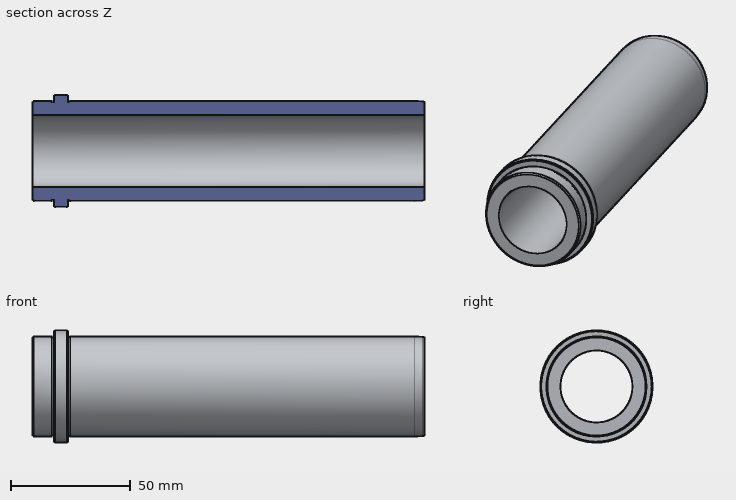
import cadquery as cq

length = 164.0
bore_diameter = 30.0
body_diameter = 42.0
collar_diameter = 47.0

collar_start = 9.0
collar_width = 5.9
relief_width = 1.0
relief_depth = 0.5
edge_chamfer = 0.5
rim_chamfer = 0.7

lead_length = 4.3
lead_drop = 0.2
tip_length = 1.0
tip_drop = 0.3

bore_radius = bore_diameter / 2
body_radius = body_diameter / 2
collar_radius = collar_diameter / 2
relief_radius = body_radius - relief_depth
lead_radius = body_radius - lead_drop
collar_end = collar_start + collar_width


def sleeve_profile():
    """Half section of the sleeve: x along the axis, y as radius."""
    return (
        cq.Workplane("XY")
        .moveTo(0, bore_radius)
        .lineTo(0, body_radius - rim_chamfer)
        .lineTo(rim_chamfer, body_radius)
        .lineTo(collar_start - relief_width, body_radius)
        .lineTo(collar_start - relief_width, relief_radius)
        .lineTo(collar_start, relief_radius)
        .lineTo(collar_start, collar_radius - edge_chamfer)
        .lineTo(collar_start + edge_chamfer, collar_radius)
        .lineTo(collar_end - edge_chamfer, collar_radius)
        .lineTo(collar_end, collar_radius - edge_chamfer)
        .lineTo(collar_end, relief_radius)
        .lineTo(collar_end + relief_width, body_radius)
        .lineTo(length - lead_length, body_radius)
        .lineTo(length - tip_length, lead_radius)
        .lineTo(length, lead_radius - tip_drop)
        .lineTo(length, bore_radius)
        .close()
    )


result = sleeve_profile().revolve(360, (0, 0, 0), (1, 0, 0))